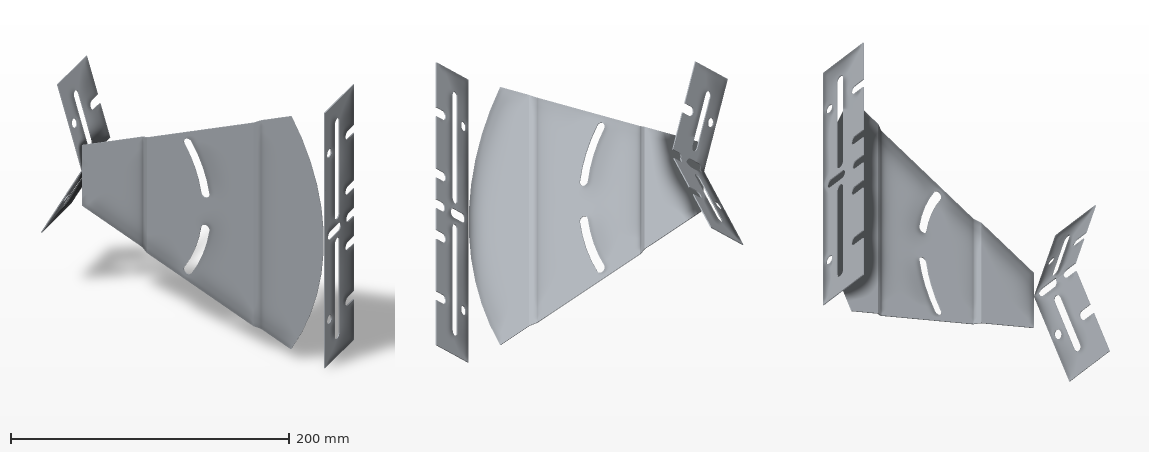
import cadquery as cq
import math

sheet = 0.8

fan_radius = 196.3
fan_half_angle = 30.0
fan_short_edge = 50.8
joggle_depth = 2.42
joggle_run = 5.3
middle_start = 54.3
middle_end = 140.5
arc_slot_radius = 102.5
arc_slot_width = 7.0
arc_slot_start = 8.4
arc_slot_end = 31.5

strip_width = 45.0
cutout_width = 7.0
notch_depth = 13.2
fold_notch_depth = 12.7
middle_notch_depth = 12.0
slot_height = 19.0
hole_height = 7.0
slot_margin = 14.8
fold_slot_height = 14.8
fold_slot_length = 19.9

straight_length = 215.0
straight_center = 0.7
straight_slot_length = 84.8
straight_hole_pitch = 70.0
straight_notch_pitch = 23.3

leaf_length = 70.0
fold_z = 3.5
upper_lean = 16.6
lower_lean = 28.2
leaf_slot_length = 45.3
leaf_hole_distance = 35.0

cut_reach = 4 * sheet


def upright_slot(middle_y, middle_z, length):
    """Slot along the length of a strip."""
    plane = cq.Workplane("YZ").center(middle_y, middle_z)
    return plane.slot2D(length, cutout_width, 90).extrude(cut_reach, both=True)


def cross_slot(middle_y, middle_z, length):
    """Slot across the width of a strip."""
    plane = cq.Workplane("YZ").center(middle_y, middle_z)
    return plane.slot2D(length, cutout_width).extrude(cut_reach, both=True)


def round_hole(middle_z):
    plane = cq.Workplane("YZ").center(hole_height, middle_z)
    return plane.circle(cutout_width / 2).extrude(cut_reach, both=True)


def edge_notch(middle_z, depth=notch_depth):
    """Round-ended notch, open at the upper edge of a strip."""
    return cross_slot(strip_width, middle_z, 2 * depth)


def fold_slot(middle_z):
    return cross_slot(fold_slot_height, middle_z, fold_slot_length)


def joggled_sheet():
    """Sheet with a forward offset middle, sharp inside its bends and rounded outside them."""
    flange_start = middle_start - joggle_run
    flange_end = middle_end + joggle_run
    bend_angle = math.atan2(joggle_depth, joggle_run)
    shift = sheet * math.tan(bend_angle / 2)
    front_flange = -sheet
    front_middle = -sheet - joggle_depth
    back_bends = [(flange_start + shift, 0), (flange_end - shift, 0)]
    front_bends = [(middle_start - shift, front_middle), (middle_end + shift, front_middle)]
    outline = [
        (0, 0),
        back_bends[0],
        (middle_start, -joggle_depth),
        (middle_end, -joggle_depth),
        back_bends[1],
        (fan_radius, 0),
        (fan_radius, front_flange),
        (flange_end, front_flange),
        front_bends[1],
        front_bends[0],
        (flange_start, front_flange),
        (0, front_flange),
    ]
    profile = cq.Workplane("XY").polyline(outline).close()
    blank = profile.extrude(fan_radius, both=True)
    for x, y in back_bends + front_bends:
        blank = blank.edges(cq.NearestToPointSelector((x, y, 0))).fillet(sheet)
    return blank


def fan_outline():
    corner_x = fan_radius * math.cos(math.radians(fan_half_angle))
    corner_z = fan_radius * math.sin(math.radians(fan_half_angle))
    return (
        cq.Workplane("XZ")
        .moveTo(0, -fan_short_edge / 2)
        .lineTo(corner_x, -corner_z)
        .threePointArc((fan_radius, 0), (corner_x, corner_z))
        .lineTo(0, fan_short_edge / 2)
        .close()
        .extrude(strip_width, both=True)
    )


def arc_slot(side):
    """Slot around the pivot, above (side = 1) or below (side = -1) the X axis."""
    inner = arc_slot_radius - arc_slot_width / 2
    outer = arc_slot_radius + arc_slot_width / 2
    overrun = math.degrees(arc_slot_width / 2 / arc_slot_radius)
    middle = (arc_slot_start + arc_slot_end) / 2

    def polar(radius, angle):
        turn = math.radians(side * angle)
        return (radius * math.cos(turn), radius * math.sin(turn))

    return (
        cq.Workplane("XZ")
        .moveTo(*polar(inner, arc_slot_start))
        .threePointArc(polar(inner, middle), polar(inner, arc_slot_end))
        .threePointArc(polar(arc_slot_radius, arc_slot_end + overrun), polar(outer, arc_slot_end))
        .threePointArc(polar(outer, middle), polar(outer, arc_slot_start))
        .threePointArc(polar(arc_slot_radius, arc_slot_start - overrun), polar(inner, arc_slot_start))
        .close()
        .extrude(strip_width, both=True)
    )


def make_fan_plate():
    plate = joggled_sheet().intersect(fan_outline())
    for side in (1, -1):
        plate = plate.cut(arc_slot(side))
    return plate


def make_straight_strip():
    strip = cq.Workplane("XY").box(sheet, strip_width, straight_length, centered=(True, False, True))
    strip = strip.cut(edge_notch(0, middle_notch_depth)).cut(fold_slot(0))
    slot_middle = straight_length / 2 - slot_margin - straight_slot_length / 2
    for side in (1, -1):
        strip = strip.cut(upright_slot(slot_height, side * slot_middle, straight_slot_length))
        strip = strip.cut(round_hole(side * straight_hole_pitch))
        for pitch in (straight_notch_pitch, straight_hole_pitch):
            strip = strip.cut(edge_notch(side * pitch))
    return strip.translate((fan_radius + sheet / 2, 0, straight_center))


def fold_profile():
    """Folded sheet, mitred at the fold, with the fold point of its outer face at the origin."""
    def along(lean, side):
        return (-math.sin(math.radians(lean)), side * math.cos(math.radians(lean)))

    upper = along(upper_lean, 1)
    lower = along(lower_lean, -1)
    half_angle = math.radians(180 - upper_lean - lower_lean) / 2
    bisector = math.radians(180 + (lower_lean - upper_lean) / -2)
    miter = sheet / math.sin(half_angle)
    inner_fold = (miter * math.cos(bisector), miter * math.sin(bisector))
    upper_tip = (leaf_length * upper[0], leaf_length * upper[1])
    lower_tip = (leaf_length * lower[0], leaf_length * lower[1])
    upper_inner = (upper_tip[0] - sheet * upper[1], upper_tip[1] + sheet * upper[0])
    lower_inner = (lower_tip[0] + sheet * lower[1], lower_tip[1] - sheet * lower[0])
    return [(0, 0), upper_tip, upper_inner, inner_fold, lower_inner, lower_tip]


def leaf_cutters():
    """Cutters of an unbent leaf that rises from the fold."""
    slot_middle = leaf_length - slot_margin - leaf_slot_length / 2
    return [
        upright_slot(slot_height, slot_middle, leaf_slot_length),
        round_hole(leaf_hole_distance),
        edge_notch(leaf_hole_distance),
    ]


def make_bent_strip():
    strip = cq.Workplane("XZ").polyline(fold_profile()).close().extrude(-strip_width)
    strip = strip.edges(cq.NearestToPointSelector((0, strip_width / 2, 0))).fillet(sheet)
    for lean in (-upper_lean, lower_lean - 180):
        for cutter in leaf_cutters():
            strip = strip.cut(cutter.rotate((0, 0, 0), (0, 1, 0), lean))
    strip = strip.cut(edge_notch(0, fold_notch_depth)).cut(fold_slot(0))
    return strip.translate((0, 0, fold_z))


fan_plate = make_fan_plate()
straight_strip = make_straight_strip()
bent_strip = make_bent_strip()

result = cq.Compound.makeCompound([fan_plate.val(), straight_strip.val(), bent_strip.val()])